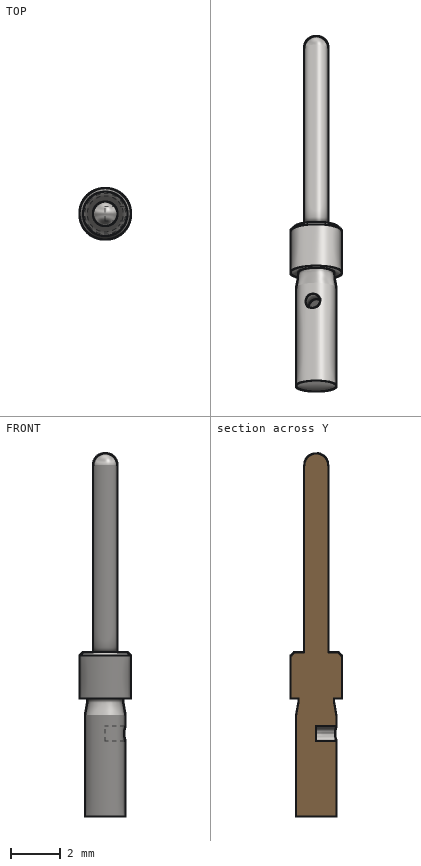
import cadquery as cq

total_length = 14.8
barrel_top = 4.13
neck_bottom = 4.67
collar_bottom = 4.8
collar_top = 6.7

barrel_diameter = 1.66
neck_diameter = 1.47
collar_diameter = 2.11
pin_diameter = 1.0

collar_chamfer = 0.15

hole_diameter = 0.6
hole_height = 3.38

barrel_radius = barrel_diameter / 2
neck_radius = neck_diameter / 2
collar_radius = collar_diameter / 2
pin_radius = pin_diameter / 2


def turned_body():
    """Barrel, tapered neck, chamfered collar and round-nosed pin, turned about Z."""
    nose_start = total_length - pin_radius
    profile = (
        cq.Workplane("XZ")
        .moveTo(0, 0)
        .lineTo(barrel_radius, 0)
        .lineTo(barrel_radius, barrel_top)
        .lineTo(neck_radius, neck_bottom)
        .lineTo(neck_radius, collar_bottom)
        .lineTo(collar_radius, collar_bottom)
        .lineTo(collar_radius, collar_top - collar_chamfer)
        .lineTo(collar_radius - collar_chamfer, collar_top)
        .lineTo(pin_radius, collar_top)
        .lineTo(pin_radius, nose_start)
        .radiusArc((0, total_length), -pin_radius)
        .close()
    )
    return profile.revolve(360, (0, 0, 0), (0, 1, 0))


def inspection_hole():
    """Cutter running from the barrel axis out through the +X wall."""
    return (
        cq.Workplane("YZ")
        .center(0, hole_height)
        .circle(hole_diameter / 2)
        .extrude(barrel_diameter)
    )


result = turned_body().cut(inspection_hole())